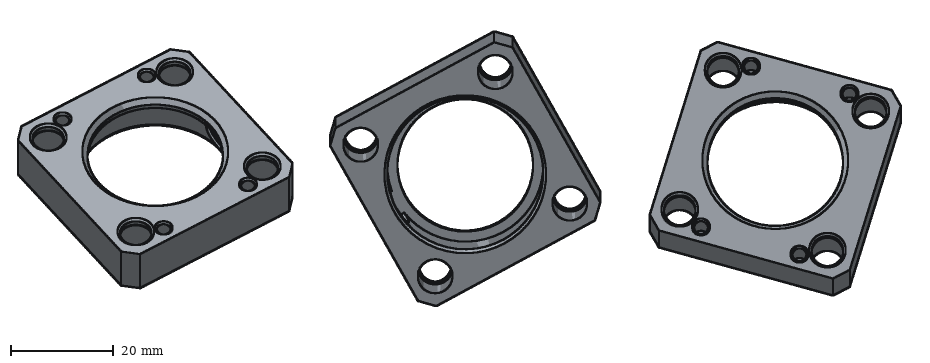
import cadquery as cq
import math

width = 40.6
thickness = 10.0
corner_chamfer = 2.65
top = thickness / 2
bottom = -top

lip_radius = 13.2
lip_chamfer = 1.0
lip_height = 0.97
lip_top = top - lip_chamfer
lip_bottom = lip_top - lip_height
seat_radius = 15.2
seat_flare_width = 0.55
seat_flare_height = 1.0

rod_offset = 15.0
rod_radius = 3.1
rod_chamfer = 0.5
rod_collar_height = 0.97
rod_relief_width = 0.3
rod_relief_height = 0.5

screw_x = 17.3
screw_y = 10.0
screw_radius = 1.35
screw_chamfer = 0.4
screw_depth = 6.0
drill_point_angle = 118.0

pocket_radius = 3.9
pocket_depth = 0.75


def revolved(profile):
    """Solid of revolution about Z from (radius, height) points."""
    return cq.Workplane("XZ").polyline(profile).close().revolve(360, (0, 0, 0), (0, 1, 0))


def central_bore():
    return revolved([
        (0, top),
        (lip_radius + lip_chamfer, top),
        (lip_radius, lip_top),
        (lip_radius, lip_bottom),
        (seat_radius, lip_bottom),
        (seat_radius, bottom + seat_flare_height),
        (seat_radius + seat_flare_width, bottom),
        (0, bottom),
    ])


def wall_pocket():
    """Round hole toward +Y whose floor is concentric with the seat wall."""
    hole = cq.Workplane("XZ").circle(pocket_radius).extrude(-width / 2)
    reach = (
        cq.Workplane("XY")
        .workplane(offset=bottom)
        .circle(seat_radius + pocket_depth)
        .extrude(lip_bottom - bottom)
    )
    return hole.intersect(reach)


def rod_hole():
    collar_top = top - rod_chamfer
    collar_bottom = collar_top - rod_collar_height
    relief_radius = rod_radius + rod_relief_width
    return revolved([
        (0, top),
        (rod_radius + rod_chamfer, top),
        (rod_radius, collar_top),
        (rod_radius, collar_bottom),
        (relief_radius, collar_bottom - rod_relief_height),
        (relief_radius, bottom),
        (0, bottom),
    ])


def screw_hole():
    shoulder = top - screw_depth
    point_height = screw_radius / math.tan(math.radians(drill_point_angle / 2))
    return revolved([
        (0, top),
        (screw_radius + screw_chamfer, top),
        (screw_radius, top - screw_chamfer),
        (screw_radius, shoulder),
        (0, shoulder - point_height),
    ])


plate = cq.Workplane("XY").box(width, width, thickness).edges("|Z").chamfer(corner_chamfer)
result = plate.cut(central_bore()).cut(wall_pocket())

for x_side in (-1, 1):
    for y_side in (-1, 1):
        result = result.cut(rod_hole().translate((x_side * rod_offset, y_side * rod_offset, 0)))
        result = result.cut(screw_hole().translate((x_side * screw_x, y_side * screw_y, 0)))